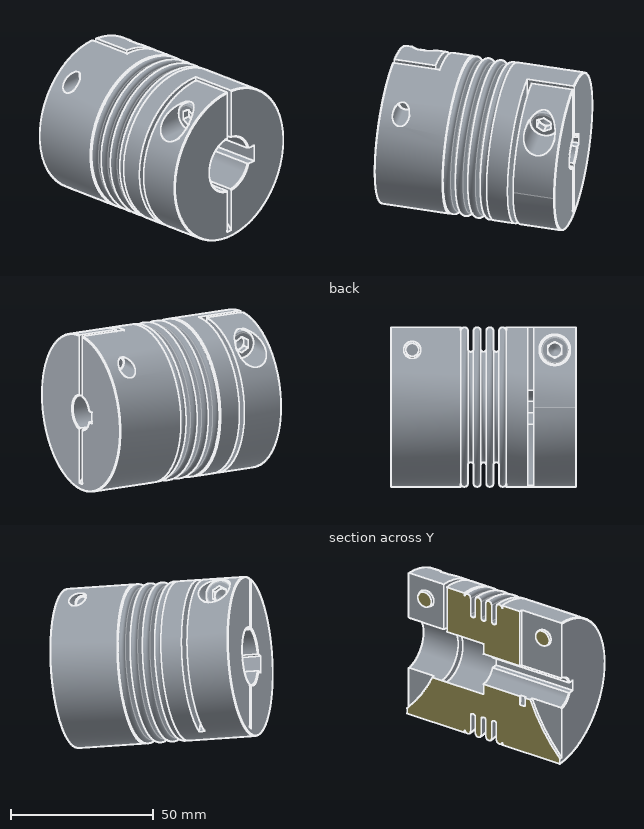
import cadquery as cq
import math

length = 65.0
outer_radius = 28.0
hub_length = 24.5
rim_chamfer = 0.25

ridge_count = 4
ridge_width = 2.6
root_radius = 19.4

small_bore_radius = 6.0
small_key_width = 4.0
small_key_depth = 7.85
large_bore_radius = 10.0
large_key_width = 6.0
large_key_depth = 12.8
bore_chamfer = 0.3

cut_width = 2.0
saw_radius = 62.45
slit_length = 16.95
slit_floor_at_face = -25.75
cross_cut_exit_y = 6.05

screw_x = 7.55
screw_z = 20.0
shank_diameter = 6.0
shank_length = 20.0
tip_chamfer = 0.7
clearance_diameter = 6.4
counterbore_diameter = 11.0
seat_y = 7.0
head_diameter = 10.0
head_height = 6.0
head_fillet = 0.6
socket_width = 5.0
socket_depth = 3.0
socket_cone_angle = 118.0

bellows_length = length - 2 * hub_length
half_cut = cut_width / 2
half_length = length / 2


def y_cylinder(diameter, y_start, y_end):
    """Cylinder on the axis of the clamp screw."""
    plane = cq.Plane(origin=(screw_x, y_start, screw_z), xDir=(1, 0, 0), normal=(0, 1, 0))
    return cq.Workplane(plane).circle(diameter / 2).extrude(y_end - y_start)


def make_body():
    """Two plain hubs and, between them, round-tipped ridges with round-bottomed grooves."""
    pitch = (bellows_length - ridge_width) / (ridge_count - 1)
    tip_radius = ridge_width / 2
    groove_radius = (pitch - ridge_width) / 2
    tip_start = outer_radius - tip_radius
    groove_end = root_radius + groove_radius

    profile = (
        cq.Workplane("XY")
        .moveTo(0, 0)
        .lineTo(0, outer_radius - rim_chamfer)
        .lineTo(rim_chamfer, outer_radius)
        .lineTo(hub_length, outer_radius)
        .lineTo(hub_length, tip_start)
    )
    for ridge in range(ridge_count):
        x = hub_length + ridge * pitch
        profile = profile.threePointArc((x + tip_radius, outer_radius), (x + ridge_width, tip_start))
        if ridge < ridge_count - 1:
            profile = (
                profile.lineTo(x + ridge_width, groove_end)
                .threePointArc((x + ridge_width + groove_radius, root_radius), (x + pitch, groove_end))
                .lineTo(x + pitch, tip_start)
            )
    profile = (
        profile.lineTo(length - hub_length, outer_radius)
        .lineTo(length - rim_chamfer, outer_radius)
        .lineTo(length, outer_radius - rim_chamfer)
        .lineTo(length, 0)
        .close()
    )
    return profile.revolve(360, (0, 0, 0), (1, 0, 0))


def make_saw_cut(plane, wall, exit_point):
    """Cut left by a round saw that plunges and then lifts straight up out of the hub.

    In the coordinates of the plane, the saw is tangent to the line u = wall from its
    lower-u side, and its lower edge passes through exit_point.
    """
    exit_u, exit_v = exit_point
    center_u = wall - saw_radius
    center_v = exit_v + math.sqrt(saw_radius**2 - (exit_u - center_u) ** 2)
    disc = cq.Workplane(plane).center(center_u, center_v).circle(saw_radius).extrude(half_cut, both=True)
    lift = (
        cq.Workplane(plane)
        .moveTo(wall, center_v)
        .rect(-2 * saw_radius, 2 * outer_radius, centered=False)
        .extrude(half_cut, both=True)
    )
    return disc.union(lift)


def make_slit():
    """Axial slit from the hub face, splitting the hub from its top down past the bore."""
    return make_saw_cut(cq.Plane.named("XZ"), slit_length, (0, slit_floor_at_face))


def make_cross_cut():
    """Cut across the hub at the inner end of the slit, freeing the +Y jaw."""
    exit_z = -math.sqrt(outer_radius**2 - cross_cut_exit_y**2)
    plane = cq.Plane(origin=(slit_length - half_cut, 0, 0), xDir=(0, -1, 0), normal=(-1, 0, 0))
    return make_saw_cut(plane, half_cut, (-cross_cut_exit_y, exit_z))


def make_bore(radius, key_width, key_depth, bore_length):
    """Chamfered bore with a keyway on the -Y side, starting at the hub face x = 0."""
    bore = (
        cq.Workplane("XY")
        .moveTo(0, 0)
        .lineTo(0, -radius - bore_chamfer)
        .lineTo(bore_chamfer, -radius)
        .lineTo(bore_length, -radius)
        .lineTo(bore_length, 0)
        .close()
        .revolve(360, (0, 0, 0), (1, 0, 0))
    )
    keyway = cq.Workplane("XY").box(bore_length, key_depth, key_width, centered=(False, False, True))
    return bore.union(keyway.translate((0, -key_depth, 0)))


def make_screw():
    """Socket head screw seated in the counterbore, head toward +Y."""
    shank = y_cylinder(shank_diameter, seat_y - shank_length, seat_y).faces("<Y").chamfer(tip_chamfer)
    head_top = seat_y + head_height
    head = y_cylinder(head_diameter, seat_y, head_top).faces(">Y").edges().fillet(head_fillet)

    socket_floor = head_top - socket_depth
    socket = (
        cq.Workplane("XZ", origin=(screw_x, head_top, screw_z))
        .polygon(6, socket_width, circumscribed=True)
        .extrude(socket_depth)
    )
    cone_radius = socket_width / 2
    cone_depth = cone_radius / math.tan(math.radians(socket_cone_angle / 2))
    cone = cq.Workplane(
        cq.Solid.makeCone(
            cone_radius, 0, cone_depth, cq.Vector(screw_x, socket_floor, screw_z), cq.Vector(0, -1, 0)
        )
    )
    return shank.union(head).cut(socket).cut(cone)


def make_hub_cuts():
    """Slit, cross cut and screw holes of the hub at x = 0."""
    threaded_hole = y_cylinder(shank_diameter, -outer_radius, 0)
    clearance_hole = y_cylinder(clearance_diameter, 0, seat_y)
    counterbore = y_cylinder(counterbore_diameter, seat_y, outer_radius)
    return [make_slit(), make_cross_cut(), threaded_hole, clearance_hole, counterbore]


def opposite(shape):
    """Move a shape from the hub at x = 0 to the hub at the other end."""
    return shape.rotate((half_length, 0, 0), (half_length, 0, 1), 180)


body = make_body()
for cut in make_hub_cuts():
    body = body.cut(cut).cut(opposite(cut))

body = body.cut(make_bore(small_bore_radius, small_key_width, small_key_depth, half_length))
large_bore = make_bore(large_bore_radius, large_key_width, large_key_depth, half_length)
body = body.cut(opposite(large_bore))

screw = make_screw()
result = body.union(screw).union(opposite(screw))